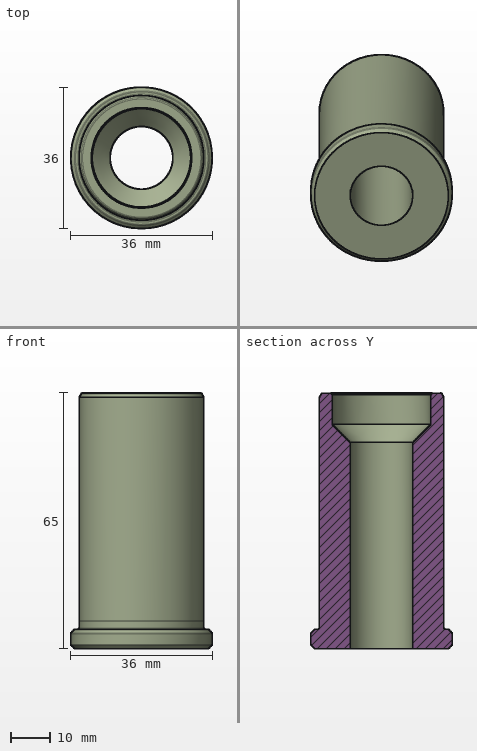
import cadquery as cq
import math

LENGTH = 65.0
BODY_RADIUS = 31.7 / 2

COLLAR_RADIUS = 36.0 / 2
COLLAR_HEIGHT = 5.0
COLLAR_CHAMFER = 1.0
COLLAR_ROUND = 0.4

NECK_RADIUS = 31.75 / 2
NECK_TOP = 7.0
NECK_TAPER_HEIGHT = 0.2
NECK_FILLET = 0.4

LEAD_HEIGHT = 1.05
LEAD_WIDTH = 0.58
LEAD_RADIUS = BODY_RADIUS - LEAD_WIDTH
RIM_FILLET = 0.4

HOLE_RADIUS = 15.88 / 2
BORE_RADIUS = 25.0 / 2
BORE_DEPTH = 8.0
BORE_CHAMFER_ANGLE = math.radians(30)
BORE_CHAMFER_HEIGHT = 0.5
BORE_CHAMFER = BORE_CHAMFER_HEIGHT * math.tan(BORE_CHAMFER_ANGLE)
FLOOR_ANGLE = math.radians(45)
FLOOR_HEIGHT = (BORE_RADIUS - HOLE_RADIUS) / math.tan(FLOOR_ANGLE)

AXIS_START = (0, 0)
AXIS_END = (0, 1)
MATCH_TOLERANCE = 1e-4


def revolve_profile(points):
    """Revolve a closed outline of (radius, height) points about the Z axis."""
    outline = cq.Workplane("XZ").polyline(points).close()
    return outline.revolve(360, AXIS_START, AXIS_END)


def round_corner(solid, radius, height, fillet_radius):
    """Fillet the circular edge of a given radius and height."""
    def is_corner(edge):
        same_radius = abs(edge.radius() - radius) < MATCH_TOLERANCE
        same_height = abs(edge.Center().z - height) < MATCH_TOLERANCE
        return same_radius and same_height

    return solid.edges("%CIRCLE").filter(is_corner).fillet(fillet_radius)


def make_outside():
    """Collar, neck and body as one solid with a tapered, rounded top end."""
    solid = revolve_profile([
        (0, 0),
        (COLLAR_RADIUS - COLLAR_CHAMFER, 0),
        (COLLAR_RADIUS, COLLAR_CHAMFER),
        (COLLAR_RADIUS, COLLAR_HEIGHT - COLLAR_CHAMFER),
        (COLLAR_RADIUS - COLLAR_CHAMFER, COLLAR_HEIGHT),
        (NECK_RADIUS, COLLAR_HEIGHT),
        (NECK_RADIUS, NECK_TOP),
        (BODY_RADIUS, NECK_TOP + NECK_TAPER_HEIGHT),
        (BODY_RADIUS, LENGTH - LEAD_HEIGHT),
        (LEAD_RADIUS, LENGTH),
        (0, LENGTH),
    ])
    rounded_collar_corners = [
        (COLLAR_RADIUS, COLLAR_CHAMFER),
        (COLLAR_RADIUS, COLLAR_HEIGHT - COLLAR_CHAMFER),
        (COLLAR_RADIUS - COLLAR_CHAMFER, COLLAR_HEIGHT),
    ]
    for radius, height in rounded_collar_corners:
        solid = round_corner(solid, radius, height, COLLAR_ROUND)
    solid = round_corner(solid, NECK_RADIUS, COLLAR_HEIGHT, NECK_FILLET)
    return round_corner(solid, LEAD_RADIUS, LENGTH, RIM_FILLET)


def make_cavity():
    """Through hole, conical floor, counterbore and its chamfered mouth."""
    return revolve_profile([
        (0, 0),
        (HOLE_RADIUS, 0),
        (HOLE_RADIUS, LENGTH - BORE_DEPTH - FLOOR_HEIGHT),
        (BORE_RADIUS, LENGTH - BORE_DEPTH),
        (BORE_RADIUS, LENGTH - BORE_CHAMFER_HEIGHT),
        (BORE_RADIUS + BORE_CHAMFER, LENGTH),
        (0, LENGTH),
    ])


result = make_outside().cut(make_cavity())